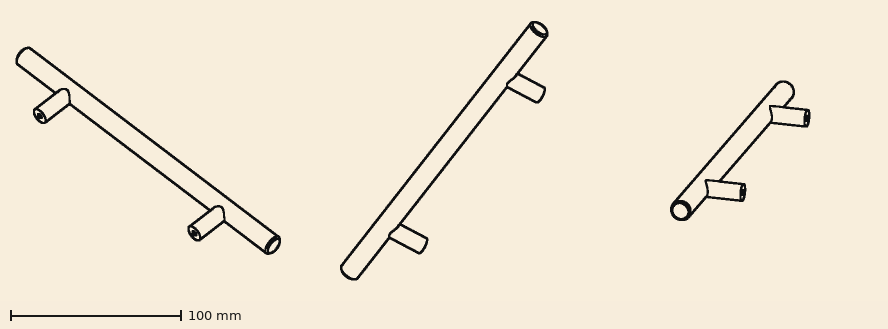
import cadquery as cq
import math

bar_length = 208
bar_diameter = 12.0
end_chamfer = 1.0
overall_depth = 32.0
post_diameter = 10.0
post_spacing = 128.0
hole_diameter = 3.0
hole_depth = 15.0
drill_tip_angle = 118

bar_radius = bar_diameter / 2
mounting_y = bar_radius - overall_depth


def make_bar():
    """Round bar with both ends chamfered."""
    blank = cq.Workplane("YZ", origin=(-bar_length / 2, 0, 0)).circle(bar_radius).extrude(bar_length)
    return blank.faces("<X or >X").chamfer(end_chamfer)


def make_post(x):
    """Post from its mounting face to the bar axis."""
    return cq.Workplane("XZ", origin=(x, 0, 0)).circle(post_diameter / 2).extrude(-mounting_y)


def make_screw_hole(x):
    """Blind drilled hole with a conical bottom, entering the mounting face."""
    radius = hole_diameter / 2
    tip_depth = radius / math.tan(math.radians(drill_tip_angle / 2))
    half_profile = (
        cq.Workplane("XY", origin=(x, mounting_y, 0))
        .lineTo(radius, 0)
        .lineTo(radius, hole_depth)
        .lineTo(0, hole_depth + tip_depth)
        .close()
    )
    return half_profile.revolve(360, (0, 0, 0), (0, 1, 0))


result = make_bar()
for post_x in (-post_spacing / 2, post_spacing / 2):
    result = result.union(make_post(post_x))
    result = result.cut(make_screw_hole(post_x))